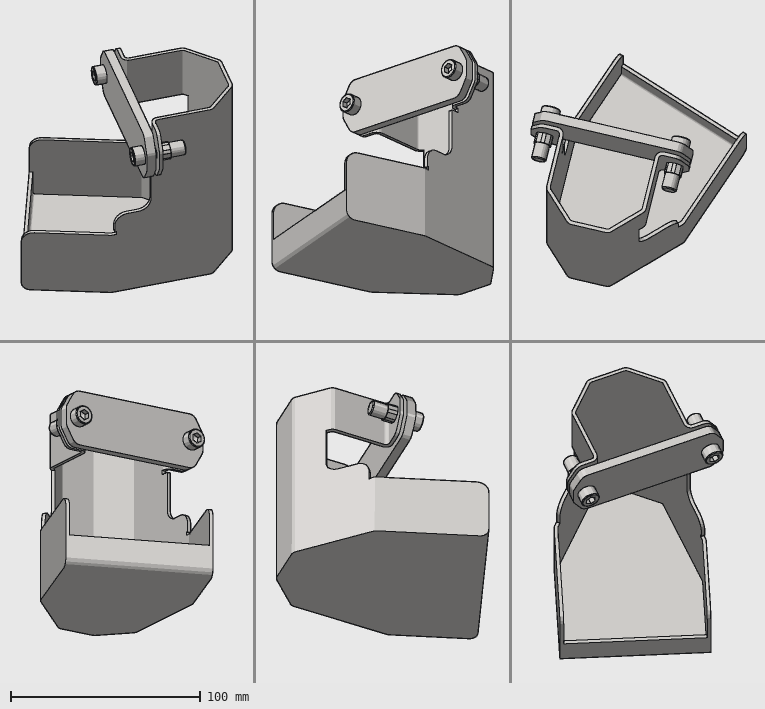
import cadquery as cq
import math


sheet = 2.0
bend_inner = 2.0
bend_outer = bend_inner + sheet

total_depth = 116.9
total_height = 112.0
channel_half_width = 27.0
back_half_width = 11.0
corner_wall_angle = 45
corner_depth = channel_half_width - back_half_width

tray_angle = 19.7
tray_width = 80.0
tray_side_length = 47.8
tray_side_height = 39.0
lip_height = 17.0
lip_bend_outer = 5.0
lip_bend_inner = 1.5

step_height = 51.9
step_radius = 7
relief_radius = 0.5
left_upper_edge = 18.8
left_lower_edge = 43.2
right_lower_edge = -70.0
lower_relief_edge = -69
lower_relief_top = 40.7
upper_relief_edge = -45.0
upper_relief_bottom = 79.7

plate_half_width = 43.0
plate_height = 30.0
plate_thickness = 5.0
plate_side_half_height = 5.1
plate_corner_angle = 30
plate_corner_radius = 5.0
plate_gap = 2.0
ear_front = -50.0
ear_back = ear_front + sheet
plate_back = ear_front - plate_gap
plate_front = plate_back - plate_thickness
plate_bottom = total_height - plate_height
plate_middle = total_height - plate_height / 2

screw_spacing = 70.8
shank_diameter = 6.0
head_diameter = 10.0
head_length = 6.0
head_chamfer = 0.5
socket_across_flats = 4.9
socket_depth = 3.0
socket_tip_angle = 120
nut_across_flats = 9.0
nut_diameter = 9.5
nut_length = 5.4
barrel_diameter = 8.0
barrel_length = 8.5
barrel_chamfer = 0.6

tray_sin = math.sin(math.radians(tray_angle))
tray_cos = math.cos(math.radians(tray_angle))
right_bend = (channel_half_width, -(total_depth - tray_side_length * tray_cos))
front_right = (channel_half_width - tray_side_length * tray_sin, -total_depth)
front_left = (front_right[0] - tray_width * tray_cos, front_right[1] + tray_width * tray_sin)
left_side_length = (front_left[1] - back_half_width - front_left[0]) / (tray_sin - tray_cos)
left_bend = (front_left[0] + left_side_length * tray_sin, front_left[1] + left_side_length * tray_cos)

hexagon_ratio = 1 / math.cos(math.radians(30))
past = 2.3


def rounded_outline(plane, corners):
    """Closed wire through corners given as (x, y) or, where rounded, (x, y, radius)."""
    stretches = []
    for i, (x, y, *rounding) in enumerate(corners):
        if not rounding:
            stretches.append([(x, y)])
            continue
        radius = rounding[0]
        before = corners[i - 1]
        after = corners[(i + 1) % len(corners)]
        heading_in = math.atan2(before[1] - y, before[0] - x)
        heading_out = math.atan2(after[1] - y, after[0] - x)
        half_angle = math.acos(math.cos(heading_in - heading_out)) / 2
        run = radius / math.tan(half_angle)
        bisector = math.atan2(
            math.sin(heading_in) + math.sin(heading_out),
            math.cos(heading_in) + math.cos(heading_out),
        )
        crown = radius / math.sin(half_angle) - radius
        stretches.append([
            (x + run * math.cos(heading_in), y + run * math.sin(heading_in)),
            (x + crown * math.cos(bisector), y + crown * math.sin(bisector)),
            (x + run * math.cos(heading_out), y + run * math.sin(heading_out)),
        ])
    wire = cq.Workplane(plane).moveTo(*stretches[0][-1])
    for stretch in stretches[1:] + stretches[:1]:
        wire = wire.lineTo(*stretch[0])
        if len(stretch) == 3:
            wire = wire.threePointArc(*stretch[1:])
    return wire.wire()


def wall_plane(start, direction):
    """Upright plane along a wall: local x runs along the wall, local y runs up."""
    return cq.Plane(
        origin=(start[0], start[1], 0),
        xDir=(direction[0], direction[1], 0),
        normal=(direction[1], -direction[0], 0),
    )


def tray_point(across, back, up):
    """Point given from the front left corner of the tray: across the mouth, back into the tray, up."""
    return (
        front_left[0] + across * tray_cos + back * tray_sin,
        front_left[1] - across * tray_sin + back * tray_cos,
        up,
    )


def bent_shell():
    """Floor and all walls at full height, with the front wall along the tray mouth."""
    outline = [
        front_left,
        (*left_bend, bend_outer),
        (-back_half_width, 0, bend_outer),
        (back_half_width, 0, bend_outer),
        (channel_half_width, -corner_depth, bend_outer),
        (*right_bend, bend_outer),
        front_right,
    ]
    block = rounded_outline("XY", outline).extrude(total_height)
    shell = block.faces(">Z").shell(-sheet)
    bottom_front = cq.selectors.NearestToPointSelector(tray_point(tray_width / 2, 0, 0))
    bottom_inner = cq.selectors.NearestToPointSelector(tray_point(tray_width / 2, sheet, sheet))
    return shell.edges(bottom_front).fillet(lip_bend_outer).edges(bottom_inner).fillet(lip_bend_inner)


def cut_through_wall(plane, corners):
    """Body that cuts the given outline out of the wall standing on the plane."""
    return rounded_outline(plane, corners).extrude(sheet + past, both=True)


def lip_cut():
    """Lowers the front wall to the lip between the two tray sides."""
    opening = tray_width - 2 * sheet
    plane = wall_plane(tray_point(sheet, 0, 0), (tray_cos, -tray_sin))
    corners = [
        (0, lip_height),
        (opening, lip_height),
        (opening, total_height + past),
        (0, total_height + past),
    ]
    return cut_through_wall(plane, corners)


def tray_side_cut(front, length):
    """Lowers one tray side to its top edge, with a rounded front corner."""
    return cut_through_wall(wall_plane(front, (tray_sin, tray_cos)), [
        (-past, 0),
        (0, 0),
        (0, tray_side_height, step_radius),
        (length, tray_side_height),
        (length, total_height + past),
        (-past, total_height + past),
    ])


def left_step_cut():
    """Steps the left corner wall down towards the tray side."""
    plane = wall_plane((-back_half_width, 0), (-1, -1))
    far_edge = math.dist((-back_half_width, 0), left_bend) + past
    return cut_through_wall(plane, [
        (far_edge, tray_side_height),
        (left_lower_edge, tray_side_height),
        (left_lower_edge, step_height, step_radius),
        (left_upper_edge, step_height, step_radius),
        (left_upper_edge, total_height + past),
        (far_edge, total_height + past),
    ])


def right_step_cut():
    """Steps the right channel wall down towards the tray side, with bend reliefs at both ends."""
    plane = wall_plane((channel_half_width, 0), (0, 1))
    far_edge = right_bend[1] - past
    return cut_through_wall(plane, [
        (far_edge, tray_side_height),
        (lower_relief_edge, tray_side_height),
        (lower_relief_edge, lower_relief_top),
        (right_lower_edge, lower_relief_top, relief_radius),
        (right_lower_edge, step_height, step_radius),
        (ear_front, step_height, step_radius),
        (ear_front, upper_relief_bottom, relief_radius),
        (upper_relief_edge, upper_relief_bottom, relief_radius),
        (upper_relief_edge, total_height + past),
        (far_edge, total_height + past),
    ])


def plate_outline(y):
    """Outline shared by the clamp plate and the ears, in the upright plane at y."""
    half_height = plate_height / 2
    corner_rise = half_height - plate_side_half_height
    top_half_width = plate_half_width - corner_rise * math.tan(math.radians(plate_corner_angle))
    quarter = [(plate_half_width, plate_side_half_height), (top_half_width, half_height)]
    right = [(x, -z) for x, z in reversed(quarter)] + quarter
    left = [(-x, -z) for x, z in right]
    corners = [(x, z, plate_corner_radius) for x, z in right + left]
    plane = cq.Plane(origin=(0, y, plate_middle), xDir=(1, 0, 0), normal=(0, -1, 0))
    return rounded_outline(plane, corners)


def ears():
    """Upper channel walls on both sides, bent outwards into the ears that carry the rivet nuts."""
    inner_half_width = channel_half_width - sheet
    inner_corner_y = -corner_depth - sheet * math.tan(math.radians(corner_wall_angle / 2))
    diagonal = math.cos(math.radians(corner_wall_angle))
    edge_x = -back_half_width - left_upper_edge * diagonal
    edge_y = -left_upper_edge * diagonal
    strip = [
        (edge_x, edge_y),
        (-channel_half_width, -corner_depth, bend_outer),
        (-channel_half_width, ear_back, bend_inner),
        (-plate_half_width, ear_back),
        (-plate_half_width, ear_front),
        (-inner_half_width, ear_front, bend_outer),
        (-inner_half_width, inner_corner_y, bend_inner),
        (edge_x + sheet * diagonal, edge_y - sheet * diagonal),
    ]
    left_ear = rounded_outline("XY", strip).extrude(plate_height).translate((0, 0, plate_bottom))
    both_ears = left_ear.union(left_ear.mirror("YZ"))
    return both_ears.intersect(plate_outline(0).extrude(-ear_front))


def clamp_plate():
    """Flat plate across the mouth of the channel, standing clear of the ears."""
    return plate_outline(plate_back).extrude(plate_thickness)


def screw_plane(x, y):
    """Plane across a screw, facing from the screw head towards the rivet nut."""
    return cq.Workplane(cq.Plane(origin=(x, y, plate_middle), xDir=(0, 0, 1), normal=(0, 1, 0)))


def screw(x):
    """Socket head screw running from the front of the plate into the rivet nut."""
    head_front = plate_front - head_length
    shank = screw_plane(x, plate_front).circle(shank_diameter / 2).extrude(ear_back - plate_front)
    head = screw_plane(x, head_front).circle(head_diameter / 2).extrude(head_length)
    head = head.faces("<Y").chamfer(head_chamfer)
    socket_radius = socket_across_flats * hexagon_ratio / 2
    tip_length = socket_radius / math.tan(math.radians(socket_tip_angle / 2))
    full_depth = socket_depth + tip_length
    socket = screw_plane(x, head_front).polygon(6, 2 * socket_radius).extrude(full_depth)
    drill_tip = cq.Solid.makeCone(
        socket_radius, 0, tip_length, pnt=(x, head_front + socket_depth, plate_middle), dir=(0, 1, 0)
    )
    bore = screw_plane(x, head_front).circle(socket_radius).extrude(socket_depth)
    bore = bore.union(cq.Workplane(drill_tip))
    return head.cut(socket.intersect(bore)).union(shank)


def rivet_nut(x):
    """Hexagonal collar with rounded corners, seated on the ear, and its closed round barrel."""
    collar = screw_plane(x, ear_back).polygon(6, nut_across_flats * hexagon_ratio).extrude(nut_length)
    collar = collar.intersect(screw_plane(x, ear_back).circle(nut_diameter / 2).extrude(nut_length))
    barrel = screw_plane(x, ear_back).circle(barrel_diameter / 2).extrude(nut_length + barrel_length)
    return collar.union(barrel.faces(">Y").chamfer(barrel_chamfer))


holder = (
    bent_shell()
    .cut(lip_cut())
    .cut(tray_side_cut(front_left, left_side_length))
    .cut(tray_side_cut(front_right, tray_side_length))
    .cut(left_step_cut())
    .cut(right_step_cut())
)
result = holder.union(ears()).union(clamp_plate())
for side in (-1, 1):
    screw_x = side * screw_spacing / 2
    result = result.union(screw(screw_x)).union(rivet_nut(screw_x))